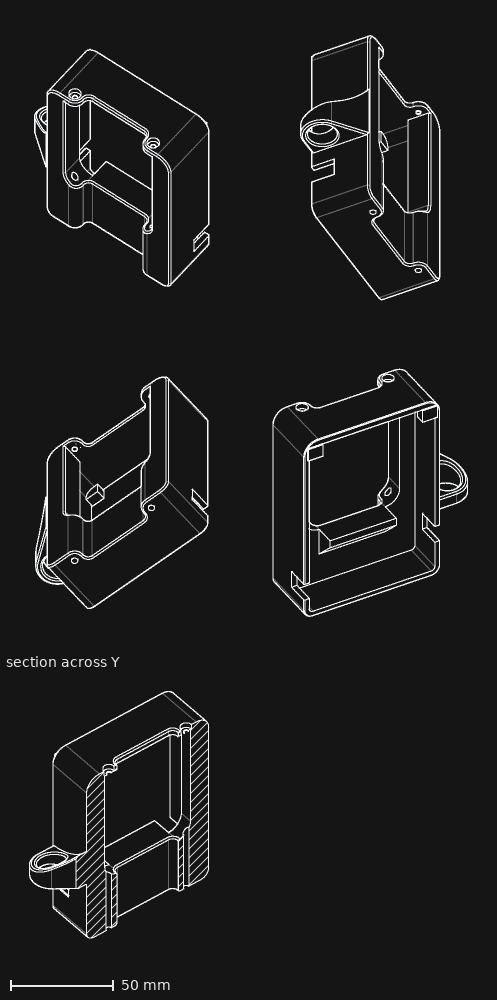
import cadquery as cq
import math

WIDTH = 76.0
DEPTH = 31.6
HEIGHT = 106.0
TOP_RADIUS = 8.0
BOTTOM_RADIUS = 5.0
WALL = 3.0
TOP_WALL = 3.6
FRONT_CHAMFER = 0.9
BACK_CHAMFER = 0.4

POST_RADIUS = 5.0
POST_X = 14.0
RECESS_Y = 8.5
RECESS_FILLET = 3.1
FRONT_SECTION_Y = 12.0

WINDOW_SIDE = 11.5
WINDOW_BOTTOM = 34.6
WINDOW_RADIUS = 8.0

COUNTERBORE_DIAMETER = 6.0
COUNTERBORE_DEPTH = 3.0
TOP_HOLE_DIAMETER = 2.53
POST_HOLE_DIAMETER = 3.09

SHELF_BACK_Y = 22.8
SHELF_EDGE = 4.2

SLOT_FRONT_Y = 19.3
SLOT_HEIGHT = 9.5
SLOT_BEVEL = 0.4
LEFT_SLOT_Z = 19.7
RIGHT_SLOT_Z = 11.4

PAD_X = 2.0
PAD_WIDTH = 8.2
PAD_Z = 95.6
PAD_HEIGHT = 7.0
PAD_PROTRUSION = 0.8
PAD_DEPTH = 5.0

BORE_DIAMETER = 14.5
LUG_OVERHANG = 20.0
LUG_RADIUS = 10.6
LUG_BOTTOM = 37.7
LUG_CHAMFER = 0.9
LUG_X = LUG_RADIUS - LUG_OVERHANG
LUG_Y = 20.6
LUG_TOP_FRONT = (0.0, 68.5)
LUG_TOP_MIDDLE = (12.3, 52.1)
LUG_TOP_BACK = (DEPTH, 44.9)

MID_X = WIDTH / 2
SHELF_X = WINDOW_SIDE + WINDOW_RADIUS
CAVITY_TOP = HEIGHT - TOP_WALL
RECESS_X = POST_X + POST_RADIUS + RECESS_FILLET
DIAGONAL = math.sqrt(0.5)
FLATNESS = 0.01


def box(x0, x1, y0, y1, z0, z1):
    return cq.Workplane("XY").box(x1 - x0, y1 - y0, z1 - z0, centered=False).translate((x0, y0, z0))


def rounded_block(inset, top_inset, y0, y1):
    """Block with the housing's rounded XZ outline, moved inward by the insets."""
    block = box(inset, WIDTH - inset, y0, y1, inset, HEIGHT - top_inset)
    block = block.edges("|Y and >Z").fillet(TOP_RADIUS - inset)
    return block.edges("|Y and <Z").fillet(BOTTOM_RADIUS - inset)


def recess_cutter():
    """Front recess between the posts, blended by convex and concave arcs."""
    side_x = POST_X + POST_RADIUS
    concave_y = RECESS_Y - RECESS_FILLET
    half = (
        cq.Workplane("XY")
        .moveTo(MID_X, 0)
        .lineTo(POST_X, 0)
        .threePointArc(
            (POST_X + POST_RADIUS * DIAGONAL, POST_RADIUS * (1 - DIAGONAL)),
            (side_x, POST_RADIUS),
        )
        .lineTo(side_x, concave_y)
        .threePointArc(
            (RECESS_X - RECESS_FILLET * DIAGONAL, concave_y + RECESS_FILLET * DIAGONAL),
            (RECESS_X, RECESS_Y),
        )
        .lineTo(MID_X, RECESS_Y)
        .close()
        .extrude(HEIGHT)
    )
    return half.union(half.mirror("YZ", (MID_X, 0, 0)))


def window_cutter():
    cutter = box(WINDOW_SIDE, WIDTH - WINDOW_SIDE, 0, FRONT_SECTION_Y, WINDOW_BOTTOM, CAVITY_TOP)
    return cutter.edges("|Y and <Z").fillet(WINDOW_RADIUS)


def make_shell():
    """Hollow housing, open at the back; each chamfer follows its whole tangent chain of edges."""
    shell = rounded_block(0, 0, 0, DEPTH).cut(recess_cutter())
    shell = shell.faces("<Y").edges("<X").chamfer(FRONT_CHAMFER)
    shell = shell.faces(">Y").chamfer(BACK_CHAMFER)
    shell = shell.cut(rounded_block(WALL, TOP_WALL, FRONT_SECTION_Y, DEPTH))
    shell = shell.cut(window_cutter())
    side_middle = (WINDOW_BOTTOM + WINDOW_RADIUS + CAVITY_TOP) / 2
    window_edge = cq.selectors.NearestToPointSelector((WINDOW_SIDE, 0, side_middle))
    return shell.edges(window_edge).chamfer(FRONT_CHAMFER)


def make_shelf():
    drop = SHELF_EDGE + SHELF_BACK_Y - FRONT_SECTION_Y
    return (
        cq.Workplane("YZ", origin=(SHELF_X, 0, 0))
        .moveTo(FRONT_SECTION_Y, WINDOW_BOTTOM)
        .lineTo(SHELF_BACK_Y, WINDOW_BOTTOM)
        .lineTo(SHELF_BACK_Y, WINDOW_BOTTOM - SHELF_EDGE)
        .lineTo(FRONT_SECTION_Y, WINDOW_BOTTOM - drop)
        .close()
        .extrude(WIDTH - 2 * SHELF_X)
    )


def make_lug():
    """Ring lug; a tangent joins the ring to the front left edge of the housing."""
    tangent = math.atan2(-LUG_Y, -LUG_X) - math.acos(LUG_RADIUS / math.hypot(LUG_X, LUG_Y))
    touch = (LUG_X + LUG_RADIUS * math.cos(tangent), LUG_Y + LUG_RADIUS * math.sin(tangent))
    lug = (
        cq.Workplane("XY", origin=(0, 0, LUG_BOTTOM))
        .moveTo(0, 0)
        .lineTo(*touch)
        .threePointArc((LUG_X - LUG_RADIUS, LUG_Y), (LUG_X, LUG_Y + LUG_RADIUS))
        .lineTo(0, LUG_Y + LUG_RADIUS)
        .close()
        .extrude(HEIGHT - LUG_BOTTOM)
    )
    above = (
        cq.Workplane("YZ", origin=(-LUG_OVERHANG, 0, 0))
        .moveTo(*LUG_TOP_FRONT)
        .threePointArc(LUG_TOP_MIDDLE, LUG_TOP_BACK)
        .lineTo(DEPTH, HEIGHT)
        .lineTo(0, HEIGHT)
        .close()
        .extrude(LUG_OVERHANG)
    )
    bore = cq.Workplane("XY").center(LUG_X, LUG_Y).circle(BORE_DIAMETER / 2).extrude(HEIGHT)
    lug = lug.cut(above).cut(bore)
    rims = [edge for edge in lug.edges().vals() if edge.BoundingBox().xlen > FLATNESS]
    return lug.newObject(rims).chamfer(LUG_CHAMFER)


def post_hole(x):
    """Screw hole: counterbored in the top wall, then straight down through the post below the window."""

    def bore(diameter, z0, z1):
        return cq.Workplane("XY", origin=(x, POST_RADIUS, z0)).circle(diameter / 2).extrude(z1 - z0)

    hole = bore(POST_HOLE_DIAMETER, 0, HEIGHT / 2)
    hole = hole.union(bore(TOP_HOLE_DIAMETER, HEIGHT / 2, HEIGHT))
    return hole.union(bore(COUNTERBORE_DIAMETER, HEIGHT - COUNTERBORE_DEPTH, HEIGHT))


def pad(x):
    back = DEPTH + PAD_PROTRUSION
    return box(x, x + PAD_WIDTH, back - PAD_DEPTH, back, PAD_Z, PAD_Z + PAD_HEIGHT)


def side_slot(x):
    return box(x, x + WALL, SLOT_FRONT_Y, DEPTH, 0, SLOT_HEIGHT)


def left_slot():
    """Left slot with its lower and front outer edges bevelled."""
    slot_length = DEPTH - SLOT_FRONT_Y
    bevel = (
        cq.Workplane("YZ")
        .rect(slot_length + SLOT_BEVEL, SLOT_HEIGHT + SLOT_BEVEL, centered=False)
        .workplane(offset=SLOT_BEVEL)
        .center(SLOT_BEVEL, SLOT_BEVEL)
        .rect(slot_length, SLOT_HEIGHT, centered=False)
        .loft(ruled=True)
        .translate((0, SLOT_FRONT_Y - SLOT_BEVEL, -SLOT_BEVEL))
    )
    return side_slot(0).union(bevel)


result = make_shell().union(make_shelf()).union(make_lug())
for pad_x in (PAD_X, WIDTH - PAD_X - PAD_WIDTH):
    result = result.union(pad(pad_x))
for hole_x in (POST_X, WIDTH - POST_X):
    result = result.cut(post_hole(hole_x))
result = result.cut(left_slot().translate((0, 0, LEFT_SLOT_Z)))
result = result.cut(side_slot(WIDTH - WALL).translate((0, 0, RIGHT_SLOT_Z)))